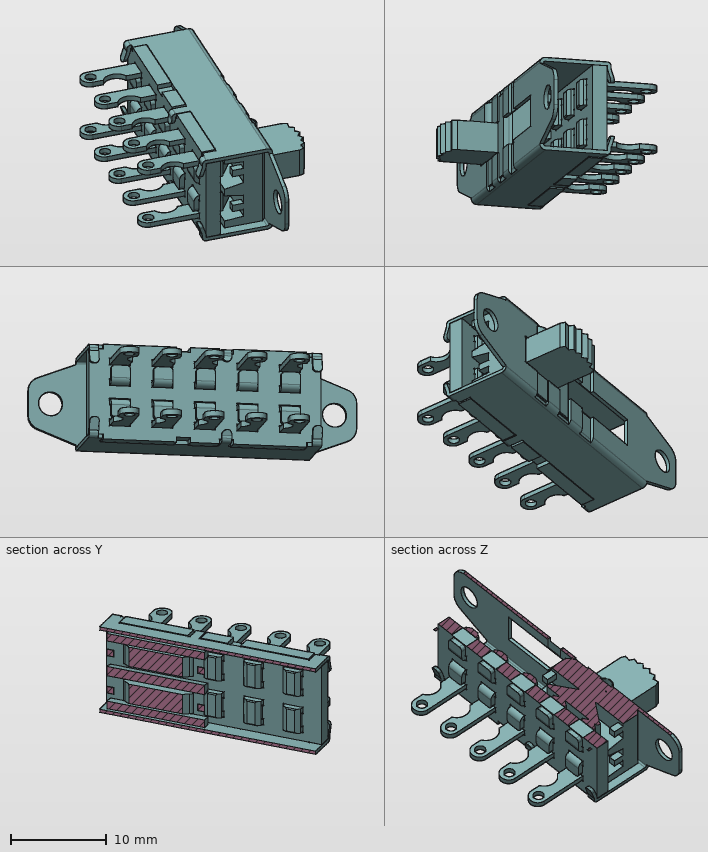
import cadquery as cq
import math


SHEET = 0.42
SHELL_LENGTH = 24.8
SHELL_HEIGHT = 9.98
SHELL_BEND_RADIUS = 0.6
PLATE_LENGTH = 34.98
PLATE_ROOT_HEIGHT = 8.64
PLATE_TIP_HEIGHT = 4.74
PLATE_CORNER_RADIUS = 1.5
MOUNT_HOLE_DIAMETER = 2.54
MOUNT_HOLE_PITCH = 30.25
KNOB_SLOT_LENGTH = 18.0
KNOB_SLOT_HEIGHT = 3.36
DETENT_PITCH = 3.93
DETENT_STEPS = (-0.5, 0.5, 1.5)
DETENT_NOTCH_WIDTH = 1.94
DETENT_NOTCH_DEPTH = 0.34

BOARD_END_GAP = 0.05
BOARD_LENGTH = SHELL_LENGTH - 2 * BOARD_END_GAP
BOARD_THICKNESS = 1.58
BOARD_FRONT_Y = -5.79
BOARD_BACK_Y = BOARD_FRONT_Y - BOARD_THICKNESS
SHELL_END_SETBACK = 0.08
SHELL_END_Y = BOARD_BACK_Y + SHELL_END_SETBACK
BOARD_HEIGHT = SHELL_HEIGHT - 2 * SHEET
BOARD_LUG_HEIGHT = 10.16
BOARD_LUG_SPANS = ((-10.83, -3.02), (-1.53, 1.53), (3.02, 10.83))

WINDOW_SPANS = ((-10.93, 1.74), (2.78, 10.93))
CENTRE_TAB_SPAN = (WINDOW_SPANS[0][1], WINDOW_SPANS[1][0])
CORNER_TAB_WIDTH = 1.0
TAB_KINK_Z = 4.27
TAB_KINK_ANGLE = math.radians(18)
CORNER_TAB_TIP_Z = 2.9
CORNER_TAB_TIP_RADIUS = 0.4
CENTRE_TAB_TIP_Z = 3.66
CENTRE_TAB_TIP_RADIUS = 0.51

TERMINAL_COUNT = 5
TERMINAL_PITCH = 4.53
TERMINAL_WIDTH = 2.03
STRIP = 0.58
TERMINAL_OUTER_Z = 3.55
TERMINAL_INNER_Z = 0.75
WEB_FRONT_Y = -5.13
WEB_BEVEL_Y = -5.48
WEB_BEVEL_RUN = 0.55
WEB_CORNER_CHAMFER = 0.12
TERMINAL_END_Y = -13.76
LUG_HOLE_DIAMETER = 1.17
LUG_HOLE_Y = -12.64
LUG_NOTCH_RADIUS = 1.425
LUG_NOTCH_DEPTH = 0.76
LUG_NOTCH_Y = -10.32
FLAP_TIP_Z = 2.79
FLAP_THICKNESS = 0.55
FLAP_BEND_RADIUS = 0.7
FLAP_TIP_RADIUS = 0.4
SLOT_WIDTH = 2.25
SLOT_CLEARANCE = 0.08

SLIDER_X = 5.955
SLIDER_LENGTH = 11.2
SLIDER_HEIGHT = 8.78
SLIDER_TOP_Y = -0.17
SLIDER_ROOT_Y = -0.57
SLIDER_CEILING_Y = -2.92
SLIDER_BOTTOM_Y = -5.06
SLIDER_BEVEL_RUN = 0.9
SLIDER_BEVEL_BREAK_Y = -0.57
SLIDER_BEVEL_BREAK_RUN = 0.3
SLIDER_BEVEL_BOTTOM_Y = -0.86
WALL_INNER_Z_AT_CEILING = 3.38
WALL_INNER_Z_AT_BOTTOM = 3.53
RIB_HALF_AT_CEILING = 0.79
RIB_HALF_AT_BOTTOM = 0.4

BUMP_WIDTH = 2.05
BUMP_TOP_Y = 0.47
BUMP_TUNNEL_DIAMETER = 1.6
BUMP_TUNNEL_Y = -0.46
BUMP_Z_SPAN = (1.81, 4.26)
POST_Z_SPAN = (1.77, 2.56)
POST_LENGTH = 0.8
POST_BOTTOM_Y = -4.16

CONTACT_Z_SPAN = (1.0, 3.3)
CONTACT_LENGTH = 8.0
CONTACT_EDGE_RADIUS = 0.29
CONTACT_END_SLOPE_RUN = 2.4

KNOB_WIDTH = 5.49
KNOB_HEIGHT = 3.18
KNOB_SHOULDER_Y = 4.3
KNOB_SERRATIONS = (
    (0, 5.06), (0.53, 5.48), (0.95, 5.06), (1.58, 5.25), (1.86, 4.73), (2.55, 4.83),
)


def box(x_span, y_span, z_span):
    """Axis-aligned block between three pairs of limits."""
    lows = [min(span) for span in (x_span, y_span, z_span)]
    sizes = [abs(span[1] - span[0]) for span in (x_span, y_span, z_span)]
    return cq.Workplane("XY").box(*sizes, centered=False).translate(tuple(lows))


def centred(middle, length):
    """Limits of a length centred on a middle value."""
    return (middle - length / 2, middle + length / 2)


def both_sides(solid):
    """The solid joined with its mirror image below Z = 0."""
    return solid.union(solid.mirror("XY"))


def extrude_x(outline, x_span):
    """Extrude a closed YZ outline between two X positions."""
    return outline.extrude(x_span[1] - x_span[0]).translate((x_span[0], 0, 0))


def mounting_plate():
    half_length = PLATE_LENGTH / 2
    half_body = SHELL_LENGTH / 2
    half_root = PLATE_ROOT_HEIGHT / 2
    half_tip = PLATE_TIP_HEIGHT / 2
    outline = [
        (-half_length, -half_tip), (-half_body, -half_root),
        (half_body, -half_root), (half_length, -half_tip),
        (half_length, half_tip), (half_body, half_root),
        (-half_body, half_root), (-half_length, half_tip),
    ]
    plate = cq.Workplane("XZ").polyline(outline).close().extrude(SHEET)
    plate = plate.edges("|Y and (<X or >X)").fillet(PLATE_CORNER_RADIUS)
    holes = cq.Workplane("XZ").pushPoints([(x, 0) for x in centred(0, MOUNT_HOLE_PITCH)])
    return plate.cut(holes.circle(MOUNT_HOLE_DIAMETER / 2).extrude(SHEET))


def clinch_tab(x_span, tip_z, tip_radius):
    """Tab of the +Z side: bent square over the back of the board, then kinked away from it."""
    outer_z = SHELL_HEIGHT / 2
    inner_z = BOARD_HEIGHT / 2
    outer_y = BOARD_BACK_Y - SHEET
    bend_middle = SHEET * math.sqrt(0.5)
    lean = (TAB_KINK_Z - tip_z) * math.tan(TAB_KINK_ANGLE)
    outline = (
        cq.Workplane("YZ")
        .moveTo(BOARD_FRONT_Y, inner_z)
        .lineTo(BOARD_FRONT_Y, outer_z)
        .lineTo(BOARD_BACK_Y, outer_z)
        .threePointArc((BOARD_BACK_Y - bend_middle, inner_z + bend_middle), (outer_y, inner_z))
        .lineTo(outer_y, TAB_KINK_Z)
        .lineTo(outer_y - lean, tip_z)
        .lineTo(BOARD_BACK_Y - lean, tip_z)
        .lineTo(BOARD_BACK_Y, TAB_KINK_Z)
        .lineTo(BOARD_BACK_Y, inner_z)
        .close()
    )
    tip_shape = box(x_span, (BOARD_FRONT_Y, outer_y - lean), (tip_z, outer_z))
    tip_shape = tip_shape.edges("|Y and <Z").fillet(tip_radius)
    return extrude_x(outline, x_span).intersect(tip_shape)


def shell():
    half_body = SHELL_LENGTH / 2
    channel = box(centred(0, SHELL_LENGTH), (SHELL_END_Y, 0), centred(0, SHELL_HEIGHT))
    channel = channel.edges("|X and >Y").fillet(SHELL_BEND_RADIUS)
    cavity = box(centred(0, SHELL_LENGTH), (SHELL_END_Y, -SHEET), centred(0, BOARD_HEIGHT))
    cavity = cavity.edges("|X and >Y").fillet(SHELL_BEND_RADIUS - SHEET)
    body = channel.cut(cavity).union(mounting_plate())

    knob_slot_x = centred(0, KNOB_SLOT_LENGTH)
    body = body.cut(box(knob_slot_x, (-SHEET, 0), centred(0, KNOB_SLOT_HEIGHT)))
    for step in DETENT_STEPS:
        notch_x = centred(step * DETENT_PITCH, DETENT_NOTCH_WIDTH)
        body = body.cut(box(notch_x, (-DETENT_NOTCH_DEPTH, 0), centred(0, SHELL_HEIGHT)))
    for window_x in WINDOW_SPANS:
        body = body.cut(box(window_x, (SHELL_END_Y, BOARD_FRONT_Y), centred(0, SHELL_HEIGHT)))

    corner_tab_x = (half_body - CORNER_TAB_WIDTH, half_body)
    corner_tab = clinch_tab(corner_tab_x, CORNER_TAB_TIP_Z, CORNER_TAB_TIP_RADIUS)
    centre_tab = clinch_tab(CENTRE_TAB_SPAN, CENTRE_TAB_TIP_Z, CENTRE_TAB_TIP_RADIUS)
    for tab in (corner_tab, corner_tab.mirror("YZ"), centre_tab):
        body = body.union(both_sides(tab))
    return body


def terminal_positions():
    middle = (TERMINAL_COUNT - 1) / 2
    return [(i - middle) * TERMINAL_PITCH for i in range(TERMINAL_COUNT)]


def terminal_board():
    board_y = (BOARD_BACK_Y, BOARD_FRONT_Y)
    board = box(centred(0, BOARD_LENGTH), board_y, centred(0, BOARD_HEIGHT))
    for lug_x in BOARD_LUG_SPANS:
        board = board.union(box(lug_x, board_y, centred(0, BOARD_LUG_HEIGHT)))
    outer_slot_z = (TERMINAL_OUTER_Z - STRIP - SLOT_CLEARANCE, TERMINAL_OUTER_Z + SLOT_CLEARANCE)
    inner_slot_z = (TERMINAL_INNER_Z - SLOT_CLEARANCE, TERMINAL_INNER_Z + STRIP + SLOT_CLEARANCE)
    for x in terminal_positions():
        for slot_z in (outer_slot_z, inner_slot_z):
            board = board.cut(both_sides(box(centred(x, SLOT_WIDTH), board_y, slot_z)))
    return board


def terminal():
    """One terminal of the +Z row, centred on X = 0."""
    width = centred(0, TERMINAL_WIDTH)
    half_width = TERMINAL_WIDTH / 2
    half_crown = half_width - WEB_BEVEL_RUN
    web_outline = [
        (-half_width, BOARD_FRONT_Y), (-half_width, WEB_BEVEL_Y), (-half_crown, WEB_FRONT_Y),
        (half_crown, WEB_FRONT_Y), (half_width, WEB_BEVEL_Y), (half_width, BOARD_FRONT_Y),
    ]
    web = cq.Workplane("XY").polyline(web_outline).close().extrude(TERMINAL_OUTER_Z - TERMINAL_INNER_Z)
    web = web.translate((0, 0, TERMINAL_INNER_Z))
    web = web.edges("|X and >Y").chamfer(WEB_CORNER_CHAMFER)

    end_centre_y = TERMINAL_END_Y + half_width
    lug = (
        cq.Workplane("XY")
        .moveTo(-half_width, BOARD_FRONT_Y)
        .lineTo(-half_width, end_centre_y)
        .threePointArc((0, TERMINAL_END_Y), (half_width, end_centre_y))
        .lineTo(half_width, BOARD_FRONT_Y)
        .close()
        .extrude(STRIP)
    )
    hole = cq.Workplane("XY").center(0, LUG_HOLE_Y).circle(LUG_HOLE_DIAMETER / 2).extrude(STRIP)
    notch_x = half_width - LUG_NOTCH_DEPTH + LUG_NOTCH_RADIUS
    notch = cq.Workplane("XY").center(notch_x, LUG_NOTCH_Y).circle(LUG_NOTCH_RADIUS).extrude(STRIP)
    lug = lug.cut(hole).cut(notch).translate((0, 0, TERMINAL_OUTER_Z - STRIP))

    flap_y = (BOARD_BACK_Y - FLAP_THICKNESS, BOARD_BACK_Y)
    inner_leg = box(width, (BOARD_BACK_Y, BOARD_FRONT_Y), (TERMINAL_INNER_Z, TERMINAL_INNER_Z + STRIP))
    flap = box(width, flap_y, (TERMINAL_INNER_Z, FLAP_TIP_Z))
    flap = flap.edges("|Y and >Z").fillet(FLAP_TIP_RADIUS)
    clinched_leg = inner_leg.union(flap).clean()
    clinched_leg = clinched_leg.edges("|X and <Y and <Z").fillet(FLAP_BEND_RADIUS)
    return web.union(lug).union(clinched_leg)


def slider_block():
    half_height = SLIDER_HEIGHT / 2
    half_length = SLIDER_LENGTH / 2
    upper_run = half_length - SLIDER_BEVEL_RUN
    break_run = half_length - SLIDER_BEVEL_BREAK_RUN
    side_outline = [
        (-half_length, SLIDER_BOTTOM_Y), (-half_length, SLIDER_BEVEL_BOTTOM_Y),
        (-break_run, SLIDER_BEVEL_BREAK_Y), (-upper_run, SLIDER_TOP_Y),
        (upper_run, SLIDER_TOP_Y), (break_run, SLIDER_BEVEL_BREAK_Y),
        (half_length, SLIDER_BEVEL_BOTTOM_Y), (half_length, SLIDER_BOTTOM_Y),
    ]
    block = cq.Workplane("XY").polyline(side_outline).close().extrude(SLIDER_HEIGHT)
    block = block.translate((0, 0, -half_height))
    channel_outline = [
        (SLIDER_CEILING_Y, RIB_HALF_AT_CEILING), (SLIDER_BOTTOM_Y, RIB_HALF_AT_BOTTOM),
        (SLIDER_BOTTOM_Y, WALL_INNER_Z_AT_BOTTOM), (SLIDER_CEILING_Y, WALL_INNER_Z_AT_CEILING),
    ]
    channel = extrude_x(cq.Workplane("YZ").polyline(channel_outline).close(), centred(0, SLIDER_LENGTH))
    post_x = (-half_length, POST_LENGTH - half_length)
    post = box(post_x, (POST_BOTTOM_Y, SLIDER_CEILING_Y), POST_Z_SPAN)
    posts = both_sides(post.union(post.mirror("YZ")))
    return block.cut(both_sides(channel)).union(posts)


def bridging_contact():
    """Contact of the +Z row: rounded ends at its floor, then ends sloping in to the slider ceiling."""
    half_length = CONTACT_LENGTH / 2
    half_floor = half_length - CONTACT_EDGE_RADIUS
    half_top = half_floor - CONTACT_END_SLOPE_RUN
    edge_middle_y = WEB_FRONT_Y + CONTACT_EDGE_RADIUS
    edge_top_y = WEB_FRONT_Y + 2 * CONTACT_EDGE_RADIUS
    outline = (
        cq.Workplane("XY")
        .moveTo(-half_top, SLIDER_CEILING_Y)
        .lineTo(-half_floor, edge_top_y)
        .threePointArc((-half_length, edge_middle_y), (-half_floor, WEB_FRONT_Y))
        .lineTo(half_floor, WEB_FRONT_Y)
        .threePointArc((half_length, edge_middle_y), (half_floor, edge_top_y))
        .lineTo(half_top, SLIDER_CEILING_Y)
        .close()
    )
    height = CONTACT_Z_SPAN[1] - CONTACT_Z_SPAN[0]
    return outline.extrude(height).translate((0, 0, CONTACT_Z_SPAN[0]))


def detent_bump():
    """Hollow arch on the slider that snaps into the plate notches."""
    half_width = BUMP_WIDTH / 2
    base_y = -DETENT_NOTCH_DEPTH
    length = BUMP_Z_SPAN[1] - BUMP_Z_SPAN[0]
    arch = (
        cq.Workplane("XY")
        .moveTo(-half_width, SLIDER_ROOT_Y)
        .lineTo(-half_width, base_y)
        .threePointArc((0, BUMP_TOP_Y), (half_width, base_y))
        .lineTo(half_width, SLIDER_ROOT_Y)
        .close()
        .extrude(length)
    )
    tunnel = cq.Workplane("XY").center(0, BUMP_TUNNEL_Y).circle(BUMP_TUNNEL_DIAMETER / 2).extrude(length)
    return arch.cut(tunnel).translate((0, 0, BUMP_Z_SPAN[0]))


def knob():
    half_width = KNOB_WIDTH / 2
    right_side = [*KNOB_SERRATIONS, (half_width, KNOB_SHOULDER_Y), (half_width, SLIDER_ROOT_Y)]
    left_side = [(-x, y) for x, y in reversed(right_side[1:])]
    body = cq.Workplane("XY").polyline(left_side + right_side).close().extrude(KNOB_HEIGHT)
    return body.translate((0, 0, -KNOB_HEIGHT / 2))


def slider():
    moving = slider_block().union(knob()).union(detent_bump()).union(both_sides(bridging_contact()))
    return moving.translate((SLIDER_X, 0, 0))


result = shell().union(terminal_board()).union(slider())
upper_terminal = terminal()
lower_terminal = upper_terminal.rotate((0, 0, 0), (0, 1, 0), 180)
for terminal_x in terminal_positions():
    for piece in (upper_terminal, lower_terminal):
        result = result.union(piece.translate((terminal_x, 0, 0)))